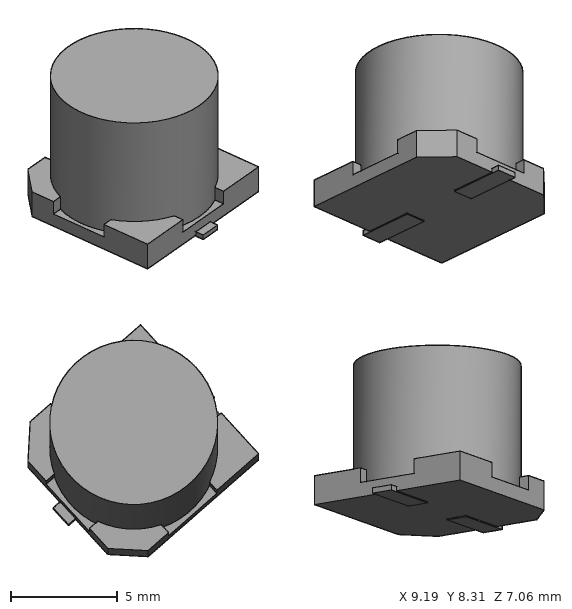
import cadquery as cq

total_length = 9.19
total_height = 7.06

base_width = 8.31
base_standoff = 0.055
base_height = 1.41
floor_thickness = 0.7
corner_chamfer = 1.34
notch_width = 3.04

can_diameter = 7.885

lead_length = 3.0
lead_width = 1.08
lead_thickness = 0.26

floor_z = base_standoff + floor_thickness
wall_height = base_height - floor_thickness
can_height = total_height - floor_z


def make_can():
    """Plain cylinder standing on the floor of the base."""
    return cq.Workplane("XY").workplane(offset=floor_z).circle(can_diameter / 2).extrude(can_height)


def make_lead(side):
    """Flat bar lying on the mounting plane; side is -1 for the -X end and +1 for the +X end."""
    center_x = side * (total_length - lead_length) / 2
    return (
        cq.Workplane("XY")
        .center(center_x, 0)
        .rect(lead_length, lead_width)
        .extrude(lead_thickness)
    )


def make_base(can, leads):
    """Plate with a seat for the can, a notch in each side wall and a slot for each lead."""
    base = (
        cq.Workplane("XY")
        .workplane(offset=base_standoff)
        .rect(base_width, base_width)
        .extrude(base_height)
        .edges("|Z and <X")
        .chamfer(corner_chamfer)
    )

    floor_plane = cq.Workplane("XY").workplane(offset=floor_z)
    base = base.cut(floor_plane.rect(base_width, notch_width).extrude(wall_height))
    base = base.cut(floor_plane.rect(notch_width, base_width).extrude(wall_height))

    base = base.cut(can)
    for lead in leads:
        base = base.cut(lead)
    return base.solids()


can = make_can()
leads = [make_lead(side) for side in (-1, 1)]
base = make_base(can, leads)

result = cq.Compound.makeCompound([base.val(), can.val(), *[lead.val() for lead in leads]])